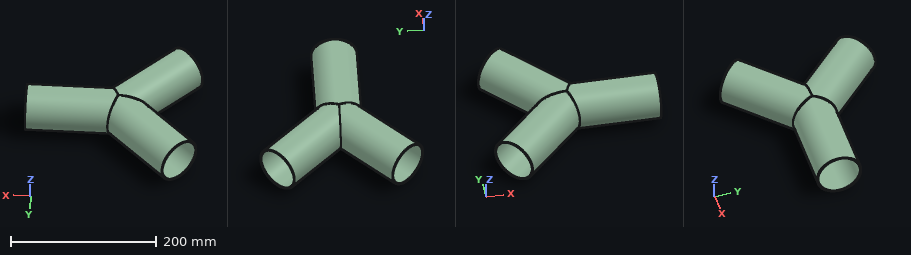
import cadquery as cq
import math

OVERALL_LENGTH = 239.3
OUTER_DIAMETER = 63.5
INNER_DIAMETER = 60.3
STRAIGHT_ANGLE = 0.0
BRANCH_ANGLE = 135.0

outer_radius = OUTER_DIAMETER / 2
inner_radius = INNER_DIAMETER / 2

backward_share = -math.cos(math.radians(BRANCH_ANGLE))
end_corner_offset = outer_radius * math.sin(math.radians(BRANCH_ANGLE))
tube_length = (OVERALL_LENGTH - end_corner_offset) / (1 + backward_share)

side_mitre_angle = (STRAIGHT_ANGLE + BRANCH_ANGLE) / 2
rear_mitre_angle = 180.0

sector_reach = 4 * tube_length
sector_height = 2 * OUTER_DIAMETER


def polar_point(radius, angle):
    """Point in the XY plane at the given radius and angle in degrees."""
    return (radius * math.cos(math.radians(angle)), radius * math.sin(math.radians(angle)))


def mitre_sector(start_angle, end_angle):
    """Upright wedge between two mitre planes that meet on the Z axis."""
    middle_angle = (start_angle + end_angle) / 2
    return (
        cq.Workplane("XY")
        .polyline([
            (0, 0),
            polar_point(sector_reach, start_angle),
            polar_point(sector_reach, middle_angle),
            polar_point(sector_reach, end_angle),
        ])
        .close()
        .extrude(sector_height / 2, both=True)
    )


def mitred_tube(direction, start_angle, end_angle):
    """Tube running outward from the origin, cut to fit between its mitre planes."""
    tube = (
        cq.Workplane("YZ")
        .circle(outer_radius)
        .circle(inner_radius)
        .extrude(tube_length)
        .rotate((0, 0, 0), (0, 0, 1), direction)
    )
    return tube.intersect(mitre_sector(start_angle, end_angle)).solids()


straight_tube = mitred_tube(STRAIGHT_ANGLE, -side_mitre_angle, side_mitre_angle)

branch_tubes = []
for side in (1, -1):
    branch = mitred_tube(side * BRANCH_ANGLE, side * side_mitre_angle, side * rear_mitre_angle)
    branch_tubes.append(branch.val())

result = cq.Compound.makeCompound([straight_tube.val(), *branch_tubes])